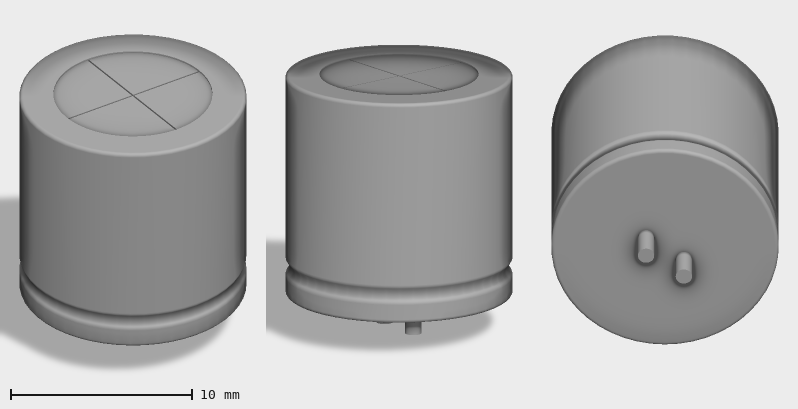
import cadquery as cq
import math

can_diameter = 12.5
can_height = 12.5
edge_radius = 0.2

groove_center_z = 1.6
groove_depth = 0.22
groove_floor_arc_radius = 0.5
groove_lip_arc_radius = 0.3

vent_diameter = 8.75
vent_depth = 0.1
score_width = 0.1
score_depth = 0.1

lead_diameter = 0.9
lead_pitch = 2.5
long_lead_length = 2.0
short_lead_length = 1.9

can_radius = can_diameter / 2


def lip_point(angle):
    """Inward drop and height along a lip arc, after turning by angle from the can wall."""
    drop = groove_lip_arc_radius * (1 - math.cos(angle))
    rise = groove_lip_arc_radius * math.sin(angle)
    return drop, rise


def make_can():
    """Revolved can with rounded rims and a crimp groove with rounded lips."""
    turn_angle = math.acos(1 - groove_depth / (groove_floor_arc_radius + groove_lip_arc_radius))
    floor_half_width = groove_floor_arc_radius * math.sin(turn_angle)
    lip_drop, lip_height = lip_point(turn_angle)
    mid_drop, mid_rise = lip_point(turn_angle / 2)
    groove_half_width = floor_half_width + lip_height
    groove_bottom = groove_center_z - groove_half_width
    groove_top = groove_center_z + groove_half_width

    rim_inset = edge_radius * (1 - math.cos(math.pi / 4))

    profile = (
        cq.Workplane("XZ")
        .lineTo(can_radius - edge_radius, 0)
        .threePointArc((can_radius - rim_inset, rim_inset), (can_radius, edge_radius))
        .lineTo(can_radius, groove_bottom)
        .threePointArc(
            (can_radius - mid_drop, groove_bottom + mid_rise),
            (can_radius - lip_drop, groove_bottom + lip_height),
        )
        .threePointArc(
            (can_radius - groove_depth, groove_center_z),
            (can_radius - lip_drop, groove_top - lip_height),
        )
        .threePointArc((can_radius - mid_drop, groove_top - mid_rise), (can_radius, groove_top))
        .lineTo(can_radius, can_height - edge_radius)
        .threePointArc(
            (can_radius - rim_inset, can_height - rim_inset),
            (can_radius - edge_radius, can_height),
        )
        .lineTo(0, can_height)
        .close()
    )
    return profile.revolve(360, (0, 0, 0), (0, 1, 0))


def cut_vent(body):
    """Sink the round vent into the top face and score a cross over its full width."""
    vent_floor_z = can_height - vent_depth
    vent_plane = cq.Workplane("XY", origin=(0, 0, vent_floor_z))
    recess = vent_plane.circle(vent_diameter / 2).extrude(vent_depth)
    score_x = vent_plane.rect(vent_diameter, score_width).extrude(-score_depth)
    score_y = vent_plane.rect(score_width, vent_diameter).extrude(-score_depth)
    return body.cut(recess).cut(score_x).cut(score_y)


def make_lead(x, length):
    """Round lead hanging down from the base of the can."""
    return cq.Workplane("XY").center(x, 0).circle(lead_diameter / 2).extrude(-length)


result = cut_vent(make_can())
for lead_x, lead_length in (
    (-lead_pitch / 2, long_lead_length),
    (lead_pitch / 2, short_lead_length),
):
    result = result.union(make_lead(lead_x, lead_length))